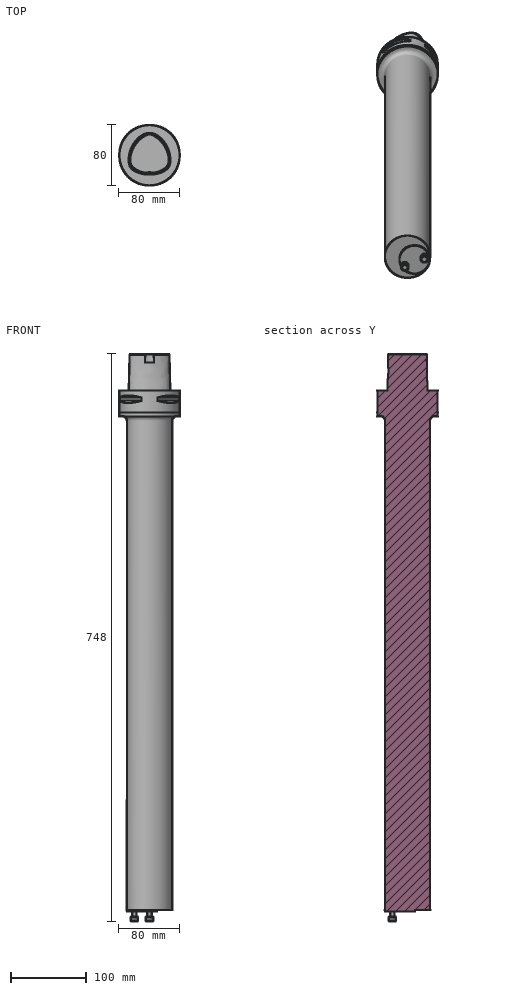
import cadquery as cq
import math

shank_height = 48.0
reach = 700.0

shank_top_width = 52.8
shank_taper = 1 / 20
shank_base_width = shank_top_width + shank_height * shank_taper
lobe_count = 3
lobe_rise = 2.0
lobe_direction = math.pi / 2
shank_points_per_loop = 48
shank_chamfer = 1.0

notch_diameter = 20.0
notch_depth = 2.0
notch_height = 11.0

flange_diameter = 80.0
flange_height = 34.0
rim_diameter = 79.99
rim_height = 5.0

groove_chord = 40.0
groove_drop = 11.5
groove_root_height = 4.0
groove_flank_angle = 30.0
groove_count = 4
first_groove_angle = 45.0

neck_radius = 6.0
body_diameter = 60.0
body_end = 685.0

disc_diameter = 40.0
disc_thickness = 2.0
disc_center_x = (disc_diameter - body_diameter) / 2
pin_diameter = 6.0
pin_offset = 10.0
head_diameter = 10.0
head_height = 6.5
head_chamfer = 1.0


def cylinder(diameter, top, bottom, x=0.0, y=0.0):
    """Vertical cylinder between two heights."""
    return cq.Workplane("XY", origin=(x, y, bottom)).circle(diameter / 2).extrude(top - bottom)


def lobed_loop(width, height):
    """Closed constant-width curve, the envelope of h(a) = width/2 + rise * cos(lobes * (a - lobe))."""
    points = []
    for index in range(shank_points_per_loop):
        angle = 2 * math.pi * index / shank_points_per_loop
        phase = lobe_count * (angle - lobe_direction)
        support = width / 2 + lobe_rise * math.cos(phase)
        slope = -lobe_count * lobe_rise * math.sin(phase)
        x = support * math.cos(angle) - slope * math.sin(angle)
        y = support * math.sin(angle) + slope * math.cos(angle)
        points.append(cq.Vector(x, y, height))
    return cq.Wire.assembleEdges([cq.Edge.makeSpline(points, periodic=True)])


def make_shank():
    """Tapered three-lobed shank with a chamfered top and an index notch."""
    base = lobed_loop(shank_base_width, 0)
    top = lobed_loop(shank_top_width, shank_height)
    shank = cq.Workplane(cq.Solid.makeLoft([base, top])).faces(">Z").chamfer(shank_chamfer)
    flat_y = lobe_rise - shank_top_width / 2
    notch_y = flat_y + notch_depth - notch_diameter / 2
    notch = cylinder(notch_diameter, shank_height, shank_height - notch_height, y=notch_y)
    return shank.cut(notch)


def make_revolved_body():
    """Flange, concave neck and long cylindrical body."""
    flange_radius = flange_diameter / 2
    rim_radius = rim_diameter / 2
    body_radius = body_diameter / 2
    neck_center_radius = body_radius + neck_radius
    neck_end = flange_height + neck_radius
    arc_inset = neck_radius * math.cos(math.pi / 4)
    return (
        cq.Workplane("XZ")
        .moveTo(0, 0)
        .lineTo(flange_radius, 0)
        .lineTo(flange_radius, rim_height - flange_height)
        .lineTo(rim_radius, rim_height - flange_height)
        .lineTo(rim_radius, -flange_height)
        .lineTo(neck_center_radius, -flange_height)
        .threePointArc(
            (neck_center_radius - arc_inset, arc_inset - neck_end),
            (body_radius, -neck_end),
        )
        .lineTo(body_radius, -body_end)
        .lineTo(0, -body_end)
        .close()
        .revolve(360, (0, 0, 0), (0, 1, 0))
    )


def make_groove(direction):
    """Trapezoidal prism running across the flange rim, facing the given direction."""
    rim = flange_diameter / 2
    root = math.sqrt(rim**2 - (groove_chord / 2) ** 2)
    half_root = groove_root_height / 2
    half_opening = half_root + (rim - root) * math.tan(math.radians(groove_flank_angle))
    return (
        cq.Workplane("XZ")
        .moveTo(root, half_root - groove_drop)
        .lineTo(rim, half_opening - groove_drop)
        .lineTo(rim, -half_opening - groove_drop)
        .lineTo(root, -half_root - groove_drop)
        .close()
        .extrude(rim, both=True)
        .rotate((0, 0, 0), (0, 0, 1), direction)
    )


def make_pin(x, y):
    """Stem with a chamfered head at its lower end."""
    stem = cylinder(pin_diameter, -body_end, -reach, x, y)
    head = cylinder(head_diameter, head_height - reach, -reach, x, y)
    return stem.union(head.edges().chamfer(head_chamfer))


result = make_revolved_body().union(make_shank())
for groove_index in range(groove_count):
    result = result.cut(make_groove(first_groove_angle + 360 / groove_count * groove_index))
result = result.union(cylinder(disc_diameter, -body_end, -body_end - disc_thickness, x=disc_center_x))
for side in (-1, 1):
    result = result.union(make_pin(disc_center_x + side * pin_offset, -side * pin_offset))